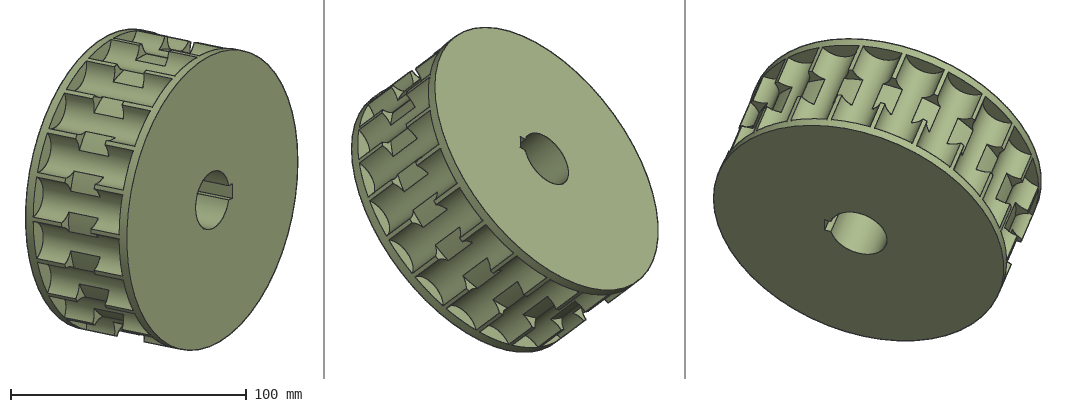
import cadquery as cq
import math

width = 52.0
outer_diameter = 129.52
outer_radius = outer_diameter / 2
pocket_count = 21

pocket_length = 44.0
pocket_radius = 9.13
pitch_radius = 67.05

groove_width = 15.0
groove_floor_radius = 59.3

bore_diameter = 25.4
key_width = 6.35
key_top_from_axis = 15.1

pocket_step = 360 / pocket_count
tooth_angle = 180.0
first_pocket_angle = tooth_angle + pocket_step / 2


def axial_workplane(length):
    """YZ workplane at the start of a feature centred along the width."""
    return cq.Workplane("YZ", origin=((width - length) / 2, 0, 0))


def make_blank():
    return axial_workplane(width).circle(outer_radius).extrude(width)


def make_groove():
    return (
        axial_workplane(groove_width)
        .circle(outer_radius)
        .circle(groove_floor_radius)
        .extrude(groove_width)
    )


def make_pocket(angle):
    centre_y = pitch_radius * math.cos(math.radians(angle))
    centre_z = pitch_radius * math.sin(math.radians(angle))
    return (
        axial_workplane(pocket_length)
        .center(centre_y, centre_z)
        .circle(pocket_radius)
        .extrude(pocket_length)
    )


def make_keyed_bore():
    bore = axial_workplane(width).circle(bore_diameter / 2).extrude(width)
    keyway = (
        axial_workplane(width)
        .center(key_top_from_axis / 2, 0)
        .rect(key_top_from_axis, key_width)
        .extrude(width)
    )
    return bore.union(keyway)


wheel = make_blank().cut(make_groove())
for index in range(pocket_count):
    wheel = wheel.cut(make_pocket(first_pocket_angle + index * pocket_step))

result = wheel.cut(make_keyed_bore())